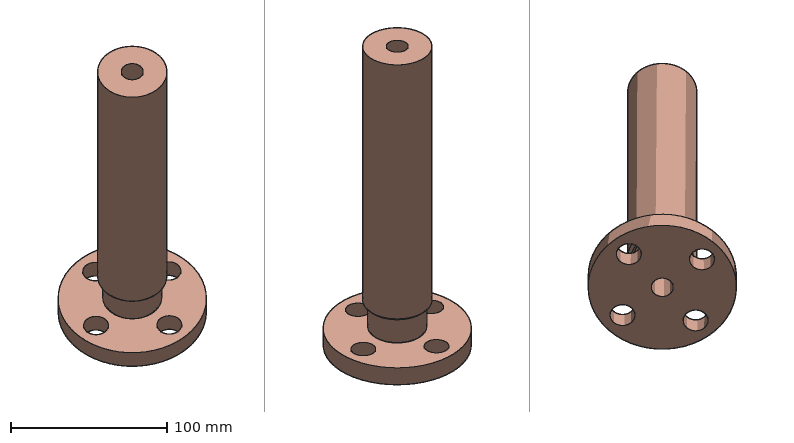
import cadquery as cq

total_height = 227.0

flange_diameter = 95.1
flange_thickness = 13.0
bolt_hole_diameter = 16.0
bolt_circle_diameter = 66.5
bolt_count = 4

neck_diameter = 38.0
neck_base_chamfer = 1.0

barrel_diameter = 44.5
barrel_bottom = 32.0
barrel_chamfer = 2.0

bore_diameter = 14.0


def cylinder(diameter, bottom, top):
    """Upright cylinder on the Z axis between two heights."""
    return cq.Workplane("XY").workplane(offset=bottom).circle(diameter / 2).extrude(top - bottom)


def make_flange():
    return (
        cylinder(flange_diameter, 0, flange_thickness)
        .faces(">Z")
        .workplane()
        .polarArray(bolt_circle_diameter / 2, 0, 360, bolt_count)
        .hole(bolt_hole_diameter)
    )


def make_neck():
    neck = cylinder(neck_diameter, flange_thickness, barrel_bottom)
    return neck.faces("<Z").chamfer(neck_base_chamfer)


def make_barrel():
    barrel = cylinder(barrel_diameter, barrel_bottom, total_height)
    return barrel.faces("<Z").chamfer(barrel_chamfer)


bore = cylinder(bore_diameter, 0, total_height)
result = make_flange().union(make_neck()).union(make_barrel()).cut(bore)